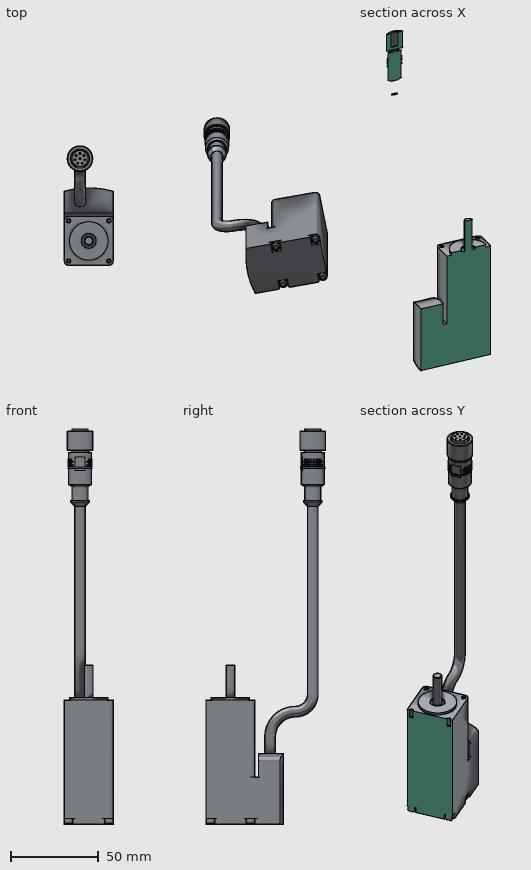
import cadquery as cq
import math


MOTOR_SIZE = 28.0
HALF = MOTOR_SIZE / 2
MOTOR_TOP = 71.0
CORNER_RADIUS = 2.5
SCREW_OFFSET = 11.5
MOUNT_HOLE_DIAMETER = 2.01
MOUNT_HOLE_DEPTH = 5.0
MOUNT_HOLE_CHAMFER = 0.25

PILOT_DIAMETER = 22.0
PILOT_HEIGHT = 1.5
SHAFT_RECESS_DIAMETER = 8.5
SHAFT_RECESS_DEPTH = 1.0
SHAFT_DIAMETER = 5.0
SHAFT_LENGTH = 20.0
SHAFT_TOP = MOTOR_TOP + SHAFT_LENGTH
SHAFT_CHAMFER = 0.3

BOX_TOP = 40.6
BOX_CROWN_DROP = 3.0
BOX_SIDE_BACK = 28.3
BOX_BACK_BULGE = 2.0
BOX_TOP_EDGE_RADIUS = 2.5
BOX_INNER_EDGE_RADIUS = 0.5
SLOT_WIDTH = 2.0
SLOT_FLOOR = 27.0
BOX_INNER = HALF + SLOT_WIDTH

BASE_HEIGHT = 3.4
POCKET_WIDTH = 5.2
POCKET_EDGE_RADIUS = 1.0
SCREW_HEAD_DIAMETER = 4.5
SCREW_HEAD_CHAMFER = 0.9

CABLE_X = -5.0
CABLE_DIAMETER = 6.2
CABLE_EXIT_Y = 22.6
CABLE_EMBED = 3.0
LOWER_BEND_START = 50.0
LOWER_BEND_RADIUS = 14.4
UPPER_BEND_RADIUS = 10.0
PLUG_Y = CABLE_EXIT_Y + LOWER_BEND_RADIUS + UPPER_BEND_RADIUS

COLLAR_DIAMETER = 10.7
SLEEVE_DIAMETER = 9.2
BODY_DIAMETER = 13.2
NECK_DIAMETER = 10.0
NUT_DIAMETER = 14.6
NUT_BORE_DIAMETER = 10.92
INSERT_DIAMETER = 9.2

COLLAR_CONE_BOTTOM = 181.6
COLLAR_BOTTOM = 184.2
COLLAR_TOP = 184.9
BODY_CONE_BOTTOM = 193.2
BODY_BOTTOM = 194.3
BODY_TOP = 212.3
NUT_BOTTOM = 213.5
NUT_TOP = 224.6
PLUG_TOP = 226.0
NUT_CHAMFER = 0.3
NUT_BORE_DEPTH = 9.0

GRIP_DIAMETER = 13.8
KNURL_BOTTOM = 204.6
KNURL_TOP = 208.6
KNURL_ROWS = 4
KNURL_TEETH_PER_ROW = 7
KNURL_PITCH_ANGLE = 16.0
KNURL_TOOTH_EMBED = 0.6
GRIP_RIM_BOTTOM = 203.4
GRIP_RIM_TOP = 204.1
GRIP_PAD_WIDTH = 5.8
GRIP_PAD_BOTTOM = 202.2
GRIP_PAD_TOP = 209.9

CONTACT_COUNT = 7
CONTACT_CIRCLE_RADIUS = 2.9
CONTACT_DIAMETER = 1.0
CONTACT_DEPTH = 5.0


def cylinder(diameter, bottom, top, x=0.0, y=0.0):
    """Vertical cylinder between two heights."""
    base = cq.Workplane("XY", origin=(x, y, bottom))
    return base.circle(diameter / 2).extrude(top - bottom)


def revolve_about_z(outline):
    """Solid of revolution about Z from (radius, height) points."""
    return cq.Workplane("XZ").polyline(outline).close().revolve(360, (0, 0), (0, 1))


def block(x_range, y_range, z_range):
    """Axis-aligned block between three pairs of limits."""
    size = [high - low for low, high in (x_range, y_range, z_range)]
    corner = (x_range[0], y_range[0], z_range[0])
    return cq.Workplane("XY").box(*size, centered=False).translate(corner)


def make_motor():
    """Square motor column with rounded vertical corners."""
    motor = block((-HALF, HALF), (-HALF, HALF), (0, MOTOR_TOP))
    return motor.edges("|Z").fillet(CORNER_RADIUS)


def make_connection_box():
    """Box with a bulged back, a crowned top and rounded upper side edges."""
    plan = (
        cq.Workplane("XY")
        .moveTo(-HALF, BOX_INNER)
        .lineTo(HALF, BOX_INNER)
        .lineTo(HALF, BOX_SIDE_BACK)
        .threePointArc((0, BOX_SIDE_BACK + BOX_BACK_BULGE), (-HALF, BOX_SIDE_BACK))
        .close()
        .extrude(BOX_TOP)
        .edges("|Z and <Y")
        .fillet(BOX_INNER_EDGE_RADIUS)
    )
    shoulder = BOX_TOP - BOX_CROWN_DROP
    crown = (
        cq.Workplane("XZ")
        .moveTo(-HALF, 0)
        .lineTo(HALF, 0)
        .lineTo(HALF, shoulder)
        .threePointArc((0, BOX_TOP), (-HALF, shoulder))
        .close()
        .extrude(-2 * BOX_SIDE_BACK)
    )
    crown = crown.edges("|Y").edges(">Z").fillet(BOX_TOP_EDGE_RADIUS)
    return plan.intersect(crown)


def make_bridge():
    """Solid joining the motor and the middle of the box below the slot."""
    box_middle = (BOX_INNER + BOX_SIDE_BACK) / 2
    return block((-HALF, HALF), (0, box_middle), (0, SLOT_FLOOR))


def make_pocket_slot():
    """Slot from the screw at +X +Y out through the +X face, with a flared mouth."""
    near = SCREW_OFFSET - POCKET_WIDTH / 2
    far = SCREW_OFFSET + POCKET_WIDTH / 2
    throat = HALF - POCKET_EDGE_RADIUS
    return (
        cq.Workplane("XY")
        .moveTo(near, near)
        .lineTo(throat, near)
        .radiusArc((HALF, near - POCKET_EDGE_RADIUS), POCKET_EDGE_RADIUS)
        .lineTo(HALF, far + POCKET_EDGE_RADIUS)
        .radiusArc((throat, far), POCKET_EDGE_RADIUS)
        .lineTo(near, far)
        .close()
        .extrude(BASE_HEIGHT)
    )


def make_right_pockets():
    """Base pockets on the +X side: a rear slot and a front corner open both ways."""
    slot = make_pocket_slot()
    front_slot = slot.mirror("XZ")
    turned_slot = slot.rotate((0, 0, 0), (0, 0, 1), -90)
    return slot.union(front_slot).union(turned_slot)


def make_screw_head(x, y):
    """Screw head with a chamfered rim, hanging in its base pocket."""
    head = cylinder(SCREW_HEAD_DIAMETER, 0, BASE_HEIGHT, x, y)
    return head.faces("<Z").chamfer(SCREW_HEAD_CHAMFER)


def make_mount_hole(x, y):
    """Blind mounting hole with a chamfered mouth, as a solid to cut away."""
    radius = MOUNT_HOLE_DIAMETER / 2
    outline = [
        (0, MOTOR_TOP - MOUNT_HOLE_DEPTH),
        (radius, MOTOR_TOP - MOUNT_HOLE_DEPTH),
        (radius, MOTOR_TOP - MOUNT_HOLE_CHAMFER),
        (radius + MOUNT_HOLE_CHAMFER, MOTOR_TOP),
        (0, MOTOR_TOP),
    ]
    return revolve_about_z(outline).translate((x, y, 0))


def make_housing():
    """Motor, box and base with pockets, screw heads and mounting holes."""
    right_pockets = make_right_pockets()
    body = make_motor().union(make_connection_box()).union(make_bridge())
    body = body.cut(right_pockets).cut(right_pockets.mirror("YZ"))
    for x in (-SCREW_OFFSET, SCREW_OFFSET):
        for y in (-SCREW_OFFSET, SCREW_OFFSET):
            body = body.union(make_screw_head(x, y))
            body = body.cut(make_mount_hole(x, y))
    return body


def make_shaft_end():
    """Pilot flange with a recess around the output shaft."""
    pilot_top = MOTOR_TOP + PILOT_HEIGHT
    recess_floor = pilot_top - SHAFT_RECESS_DEPTH
    pilot = cylinder(PILOT_DIAMETER, MOTOR_TOP, pilot_top)
    pilot = pilot.cut(cylinder(SHAFT_RECESS_DIAMETER, recess_floor, pilot_top))
    shaft = cylinder(SHAFT_DIAMETER, MOTOR_TOP, SHAFT_TOP)
    return pilot.union(shaft.faces(">Z").chamfer(SHAFT_CHAMFER))


def make_cable():
    """Cable leaving the box upwards, bending back and rising to the plug."""
    bottom = BOX_TOP - CABLE_EMBED
    mid_y = CABLE_EXIT_Y + LOWER_BEND_RADIUS
    mid_z = LOWER_BEND_START + LOWER_BEND_RADIUS
    bend_end = mid_z + UPPER_BEND_RADIUS
    diagonal = math.sqrt(0.5)
    rise = LOWER_BEND_RADIUS * diagonal
    lower_mid = (mid_y - rise, LOWER_BEND_START + rise)
    reach = UPPER_BEND_RADIUS * diagonal
    upper_mid = (mid_y + reach, bend_end - reach)
    path = (
        cq.Workplane("YZ", origin=(CABLE_X, 0, 0))
        .moveTo(CABLE_EXIT_Y, bottom)
        .lineTo(CABLE_EXIT_Y, LOWER_BEND_START)
        .threePointArc(lower_mid, (mid_y, mid_z))
        .threePointArc(upper_mid, (PLUG_Y, bend_end))
        .lineTo(PLUG_Y, COLLAR_BOTTOM)
    )
    start = cq.Workplane("XY", origin=(CABLE_X, CABLE_EXIT_Y, bottom))
    return start.circle(CABLE_DIAMETER / 2).sweep(path)


def make_plug_core():
    """Turned plug outline revolved about its own axis."""
    outline = [
        (0, COLLAR_CONE_BOTTOM),
        (CABLE_DIAMETER / 2, COLLAR_CONE_BOTTOM),
        (COLLAR_DIAMETER / 2, COLLAR_BOTTOM),
        (COLLAR_DIAMETER / 2, COLLAR_TOP),
        (SLEEVE_DIAMETER / 2, COLLAR_TOP),
        (SLEEVE_DIAMETER / 2, BODY_CONE_BOTTOM),
        (COLLAR_DIAMETER / 2, BODY_CONE_BOTTOM),
        (BODY_DIAMETER / 2, BODY_BOTTOM),
        (BODY_DIAMETER / 2, BODY_TOP),
        (NECK_DIAMETER / 2, BODY_TOP),
        (NECK_DIAMETER / 2, NUT_BOTTOM),
        (NUT_DIAMETER / 2 - NUT_CHAMFER, NUT_BOTTOM),
        (NUT_DIAMETER / 2, NUT_BOTTOM + NUT_CHAMFER),
        (NUT_DIAMETER / 2, NUT_TOP - NUT_CHAMFER),
        (NUT_DIAMETER / 2 - NUT_CHAMFER, NUT_TOP),
        (NUT_BORE_DIAMETER / 2, NUT_TOP),
        (NUT_BORE_DIAMETER / 2, NUT_TOP - NUT_BORE_DEPTH),
        (INSERT_DIAMETER / 2, NUT_TOP - NUT_BORE_DEPTH),
        (INSERT_DIAMETER / 2, PLUG_TOP),
        (0, PLUG_TOP),
    ]
    return revolve_about_z(outline)


def make_knurl_side():
    """Staggered rows of grip teeth on the +X side of the plug body."""
    row_height = (KNURL_TOP - KNURL_BOTTOM) / KNURL_ROWS
    pitch = math.radians(KNURL_PITCH_ANGLE) * BODY_DIAMETER / 2
    tooth_width = pitch / 2
    x_range = (BODY_DIAMETER / 2 - KNURL_TOOTH_EMBED, GRIP_DIAMETER / 2)
    y_range = (-tooth_width / 2, tooth_width / 2)
    teeth = cq.Workplane("XY")
    for row in range(KNURL_ROWS):
        bottom = KNURL_BOTTOM + row * row_height
        tooth = block(x_range, y_range, (bottom, bottom + row_height))
        teeth_in_row = KNURL_TEETH_PER_ROW - row % 2
        for index in range(teeth_in_row):
            angle = (index - (teeth_in_row - 1) / 2) * KNURL_PITCH_ANGLE
            teeth.add(tooth.rotate((0, 0, 0), (0, 0, 1), angle))
    return teeth.combine()


def make_grip_pad():
    """Flat pad on the front of the plug body."""
    x_range = (-GRIP_PAD_WIDTH / 2, GRIP_PAD_WIDTH / 2)
    return block(x_range, (-BODY_DIAMETER / 2, 0), (GRIP_PAD_BOTTOM, GRIP_PAD_TOP))


def cut_contacts(plug):
    """Bore the central contact hole and the ring of holes around it."""
    floor = PLUG_TOP - CONTACT_DEPTH
    plug = plug.cut(cylinder(CONTACT_DIAMETER, floor, PLUG_TOP))
    for index in range(CONTACT_COUNT):
        angle = math.pi / 2 + index * 2 * math.pi / CONTACT_COUNT
        x = CONTACT_CIRCLE_RADIUS * math.cos(angle)
        y = CONTACT_CIRCLE_RADIUS * math.sin(angle)
        plug = plug.cut(cylinder(CONTACT_DIAMETER, floor, PLUG_TOP, x, y))
    return plug


def make_plug():
    """Complete plug placed at the end of the cable."""
    knurl = make_knurl_side()
    plug = make_plug_core().union(cylinder(GRIP_DIAMETER, GRIP_RIM_BOTTOM, GRIP_RIM_TOP))
    plug = plug.union(knurl).union(knurl.mirror("YZ")).union(make_grip_pad())
    return cut_contacts(plug).translate((CABLE_X, PLUG_Y, 0))


result = make_housing().union(make_shaft_end()).union(make_cable()).union(make_plug())